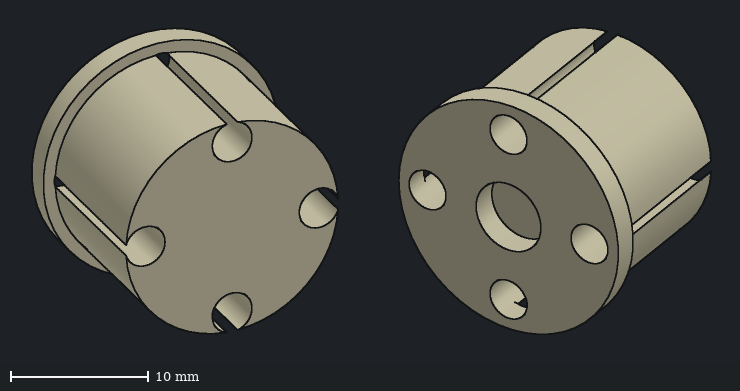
import cadquery as cq

flange_diameter = 19.0
flange_thickness = 2.0
body_diameter = 17.1
total_length = 14.0
hole_diameter = 3.2
hole_circle_diameter = 14.0
hole_count = 4
bore_diameter = 5.6
bore_depth = 2.1


def cylinder(diameter, length):
    """Cylinder on the X axis, starting at the flange face."""
    return cq.Workplane("YZ").circle(diameter / 2).extrude(length)


flanged_body = cylinder(flange_diameter, flange_thickness).union(cylinder(body_diameter, total_length))

through_holes = (
    cq.Workplane("YZ")
    .polarArray(hole_circle_diameter / 2, 0, 360, hole_count)
    .circle(hole_diameter / 2)
    .extrude(total_length)
)

central_bore = cylinder(bore_diameter, bore_depth)

result = flanged_body.cut(through_holes).cut(central_bore)